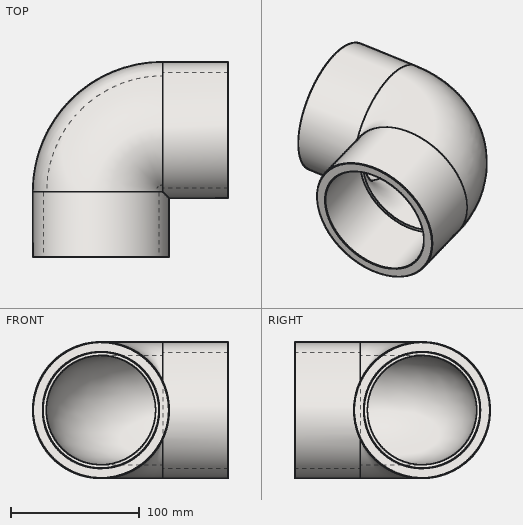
import cadquery as cq

outer_diameter = 106.0
socket_bore = 90.0
bend_bore = 85.0
axis_to_mouth = 99.0
socket_length = 51.0
outer_mouth_chamfer = 0.5
inner_mouth_chamfer = 0.5

bend_radius = axis_to_mouth - socket_length
outer_radius = outer_diameter / 2


def make_bend():
    """Quarter turn of the pipe about the vertical line through the inside corner."""
    turn_start = (bend_radius, 0, 0)
    turn_end = (bend_radius, -1, 0)
    half_chord = (outer_radius**2 - bend_radius**2) ** 0.5
    outer_section = (
        cq.Workplane("XZ", origin=(0, -bend_radius, 0))
        .moveTo(bend_radius, -half_chord)
        .threePointArc((-outer_radius, 0), (bend_radius, half_chord))
        .close()
    )
    bore_section = cq.Workplane("XZ", origin=(0, -bend_radius, 0)).circle(bend_bore / 2)
    outside = outer_section.revolve(90, turn_start, turn_end)
    passage = bore_section.revolve(90, turn_start, turn_end)
    return outside.cut(passage)


def make_socket(plane_name, origin, mouth_side):
    """Plain pipe socket that starts on the end of the bend, with both mouth edges broken."""
    smallest_circle = cq.selectors.RadiusNthSelector(0)
    largest_circle = cq.selectors.RadiusNthSelector(-1)
    tube = (
        cq.Workplane(plane_name, origin=origin)
        .circle(outer_radius)
        .circle(socket_bore / 2)
        .extrude(socket_length)
    )
    tube = tube.faces(mouth_side).edges(largest_circle).chamfer(outer_mouth_chamfer)
    return tube.faces(mouth_side).edges(smallest_circle).chamfer(inner_mouth_chamfer)


def make_socket_pair():
    """Both sockets as one body; their walls merge where they cross at the inside corner."""
    front_socket = make_socket("XZ", (0, -bend_radius, 0), "<Y")
    side_socket = make_socket("YZ", (bend_radius, 0, 0), ">X")
    return front_socket.union(side_socket)


bend = make_bend()
socket_pair = make_socket_pair()

result = cq.Compound.makeCompound([bend.solids().val(), socket_pair.solids().val()])